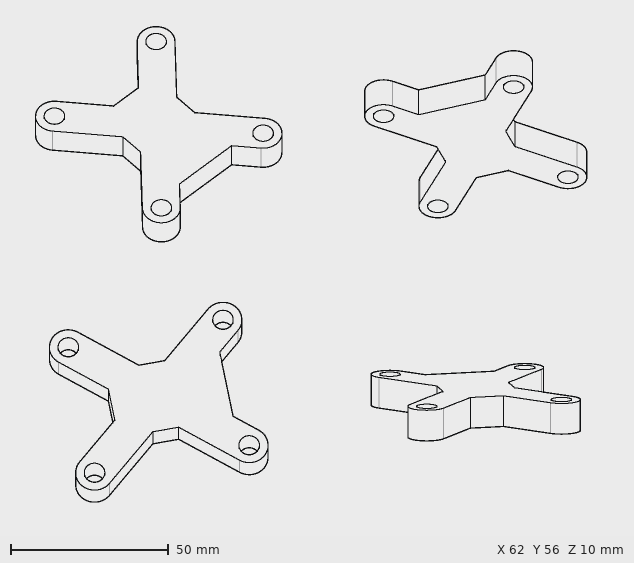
import cadquery as cq
import math

length = 61.95
width = 55.95
thickness = 10.0
arm_width = 12.0
hole_diameter = 6.5

plate_left = -15.25
plate_right = 21.85
plate_width = 23.35

hole_spacing_x = length - arm_width
hole_spacing_y = width - arm_width
diagonal = math.hypot(hole_spacing_x, hole_spacing_y)
arm_angle = math.degrees(math.atan2(hole_spacing_y, hole_spacing_x))


def make_plate():
    """Rectangular web that fills the middle of the cross."""
    plate_length = plate_right - plate_left
    plate_center_x = (plate_left + plate_right) / 2
    return (
        cq.Workplane("XY")
        .center(plate_center_x, 0)
        .rect(plate_length, plate_width)
        .extrude(thickness)
    )


def make_diagonal_arm(angle):
    """Round-ended bar joining two opposite holes."""
    return cq.Workplane("XY").slot2D(diagonal + arm_width, arm_width, angle).extrude(thickness)


body = make_plate()
for angle in (arm_angle, -arm_angle):
    body = body.union(make_diagonal_arm(angle))

holes = (
    cq.Workplane("XY")
    .rarray(hole_spacing_x, hole_spacing_y, 2, 2)
    .circle(hole_diameter / 2)
    .extrude(thickness)
)

result = body.cut(holes)